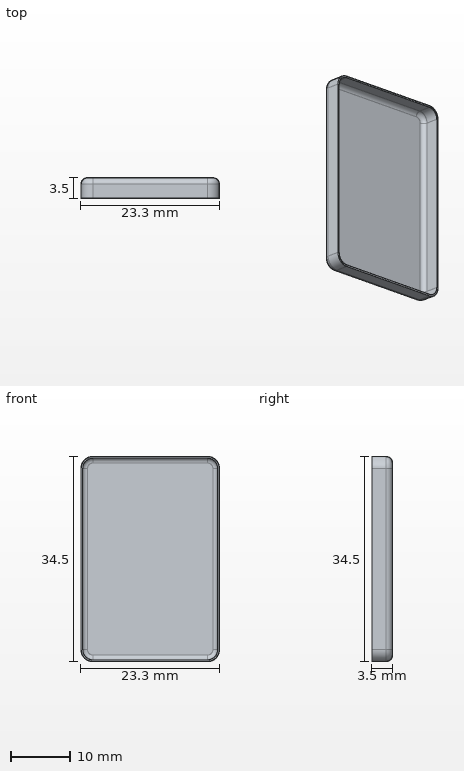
import cadquery as cq

width = 23.3
height = 34.5
depth = 3.5
wall = 0.3
corner_radius = 2.0
floor_edge_radius = 1.1


def rounded_block(inset):
    """Block with rounded corners and floor edge, set in from the outside by inset."""
    return (
        cq.Workplane("XZ")
        .rect(width - 2 * inset, height - 2 * inset)
        .extrude(depth - inset)
        .edges("|Y")
        .fillet(corner_radius - inset)
        .faces(">Y")
        .edges()
        .fillet(floor_edge_radius - inset)
        .translate((0, -inset, 0))
    )


outside = rounded_block(0)
cavity = rounded_block(wall)
result = outside.cut(cavity)